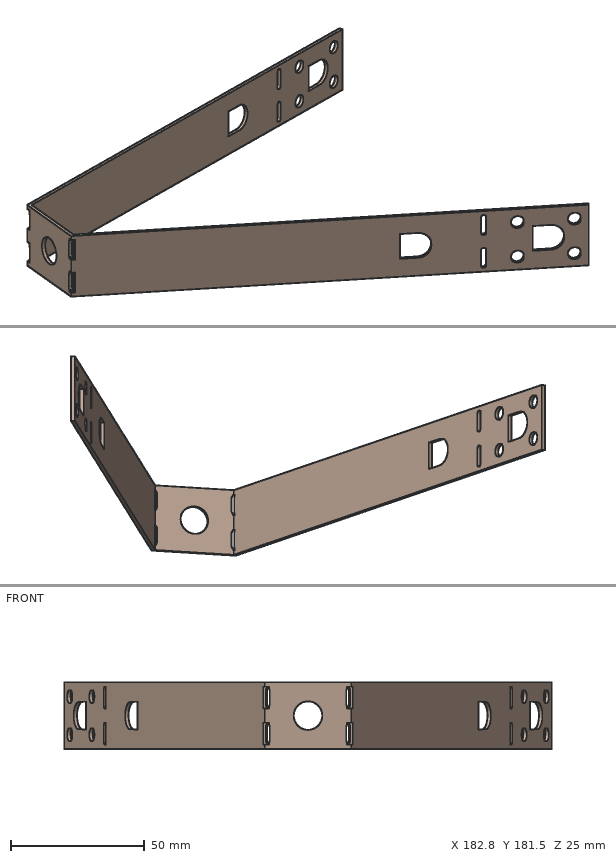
import cadquery as cq
import math

SPAN = 182.8
DEPTH = 181.5
HEIGHT = 25.0
THICKNESS = 1.5
BASE_WIDTH = 32.4

BASE_HOLE_DIAMETER = 10.6
SMALL_HOLE_DIAMETER = 5.0
SMALL_HOLE_STATIONS = (5.5, 27.0)
SMALL_HOLE_OFFSET = 7.1
ARCH_WIDTH = 10.2
ARCH_LENGTH = 11.9
ARCH_FLAT_STATIONS = (21.2, 71.5)
SLOT_WIDTH = 2.0
SLOT_LENGTH = 8.2
SLOT_OFFSET = 6.8
SLOT_STATION = 39.8
BEND_SLOT_ARM_REACH = 1.19
BEND_SLOT_BASE_REACH = 1.8

CUT_DEPTH = 3 * THICKNESS

half_base = BASE_WIDTH / 2
side_run = SPAN / 2 - half_base
diagonal = math.hypot(side_run, DEPTH)
lean = math.atan2(side_run, DEPTH) + math.asin(THICKNESS * side_run**2 / diagonal**3)
arm_length = (DEPTH - THICKNESS * math.sin(lean)) / math.cos(lean)


def make_strap():
    """Bent strip: a flat base and two leaning arms of constant thickness."""
    end_x = half_base + arm_length * math.sin(lean)
    end_y = arm_length * math.cos(lean)
    inner_end_x = end_x - THICKNESS * math.cos(lean)
    inner_corner_x = half_base - THICKNESS * (1 - math.sin(lean)) / math.cos(lean)
    return (
        cq.Workplane("XY")
        .moveTo(-half_base, 0)
        .lineTo(half_base, 0)
        .lineTo(end_x, end_y)
        .lineTo(inner_end_x, DEPTH)
        .lineTo(inner_corner_x, THICKNESS)
        .lineTo(-inner_corner_x, THICKNESS)
        .lineTo(-inner_end_x, DEPTH)
        .lineTo(-end_x, end_y)
        .close()
        .extrude(HEIGHT / 2, both=True)
    )


def slot_pair(plane, station, width):
    """Two upright round-ended slots through the sheet, above and below mid-height."""
    return (
        plane.pushPoints([(station, side * SLOT_OFFSET) for side in (-1, 1)])
        .slot2D(SLOT_LENGTH, width, 90)
        .extrude(THICKNESS)
    )


def arch_cutter(plane, flat_station):
    """Opening with a flat end and a semicircular end facing the free end."""
    radius = ARCH_WIDTH / 2
    arc_station = flat_station - ARCH_LENGTH + radius
    return (
        plane.moveTo(flat_station, -radius)
        .lineTo(flat_station, radius)
        .lineTo(arc_station, radius)
        .threePointArc((arc_station - radius, 0), (arc_station, -radius))
        .close()
        .extrude(CUT_DEPTH, both=True)
    )


def right_arm_cutters():
    """All openings through the +X arm, including those on its bend."""
    plane = cq.Workplane(
        cq.Plane(
            origin=(
                half_base + arm_length * math.sin(lean),
                arm_length * math.cos(lean),
                0,
            ),
            xDir=(-math.sin(lean), -math.cos(lean), 0),
            normal=(-math.cos(lean), math.sin(lean), 0),
        )
    )
    hole_points = [
        (station, side * SMALL_HOLE_OFFSET)
        for station in SMALL_HOLE_STATIONS
        for side in (-1, 1)
    ]
    cutters = (
        plane.pushPoints(hole_points)
        .circle(SMALL_HOLE_DIAMETER / 2)
        .extrude(CUT_DEPTH, both=True)
    )
    for flat_station in ARCH_FLAT_STATIONS:
        cutters = cutters.union(arch_cutter(plane, flat_station))
    cutters = cutters.union(slot_pair(plane, SLOT_STATION, SLOT_WIDTH))

    base_plane = cq.Workplane(cq.Plane(origin=(half_base, 0, 0), xDir=(-1, 0, 0), normal=(0, 1, 0)))
    cutters = cutters.union(slot_pair(plane, arm_length, 2 * BEND_SLOT_ARM_REACH))
    return cutters.union(slot_pair(base_plane, 0, 2 * BEND_SLOT_BASE_REACH))


def make_base_hole():
    """Round hole through the middle of the base."""
    return cq.Workplane("XZ").circle(BASE_HOLE_DIAMETER / 2).extrude(CUT_DEPTH, both=True)


arm_cutters = right_arm_cutters()
result = (
    make_strap()
    .cut(make_base_hole())
    .cut(arm_cutters)
    .cut(arm_cutters.mirror("YZ"))
)